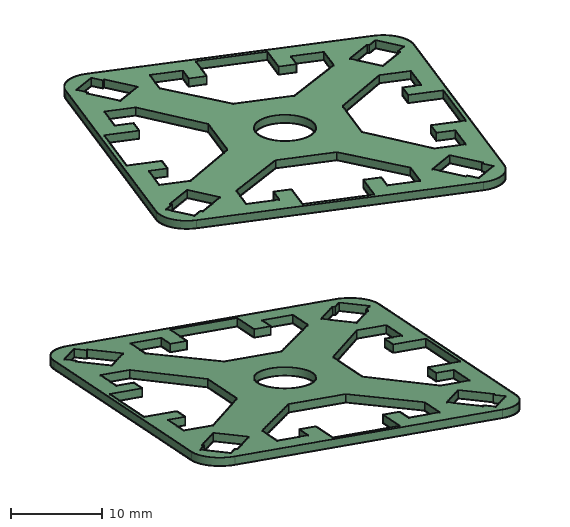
import cadquery as cq

side = 40.0
thickness = 1.0
corner_radius = 3.5
bore_diameter = 6.8

rim_width = 0.5
mouth_width = 8.25
lip_outer = 17.6
lip_inner = 15.45
lip_thickness = 2.1
window_half_width = 10.0
shoulder = 14.0
hub_distance = 7.7
hub_half_width = 3.5

corner_window_inner = 19.3
corner_window_step = 23.4
corner_window_outer = 24.85
corner_window_wide = 4.1
corner_window_narrow = 3.5


def mirrored_prism(half, axis):
    """Plate-thick prism whose outline is a half outline plus its mirror about an axis."""
    flip_x, flip_y = (1, -1) if axis == "X" else (-1, 1)
    other_half = [(flip_x * x, flip_y * y) for x, y in reversed(half)]
    return cq.Workplane("XY").polyline(half + other_half).close().extrude(thickness)


def t_slot_window():
    """T-slot cutter opening towards +Y."""
    mouth = mouth_width / 2
    half = [
        (hub_half_width, hub_distance),
        (window_half_width, shoulder),
        (window_half_width, lip_outer),
        (mouth + lip_thickness, lip_outer),
        (mouth + lip_thickness, lip_inner),
        (mouth, lip_inner),
        (mouth, side / 2 - rim_width),
    ]
    return mirrored_prism(half, "Y")


def corner_window():
    """Stepped cutter lying along the +X axis, before turning to a corner."""
    wide = corner_window_wide / 2
    narrow = corner_window_narrow / 2
    half = [
        (corner_window_inner, wide),
        (corner_window_step, wide),
        (corner_window_step, narrow),
        (corner_window_outer, narrow),
    ]
    return mirrored_prism(half, "X")


plate = (
    cq.Workplane("XY")
    .rect(side, side)
    .extrude(thickness)
    .edges("|Z")
    .fillet(corner_radius)
    .faces(">Z")
    .workplane()
    .hole(bore_diameter)
)

axis_start = (0, 0, 0)
axis_end = (0, 0, 1)
for quarter in range(4):
    turn = 90 * quarter
    plate = plate.cut(t_slot_window().rotate(axis_start, axis_end, turn))
    plate = plate.cut(corner_window().rotate(axis_start, axis_end, turn + 45))

result = plate